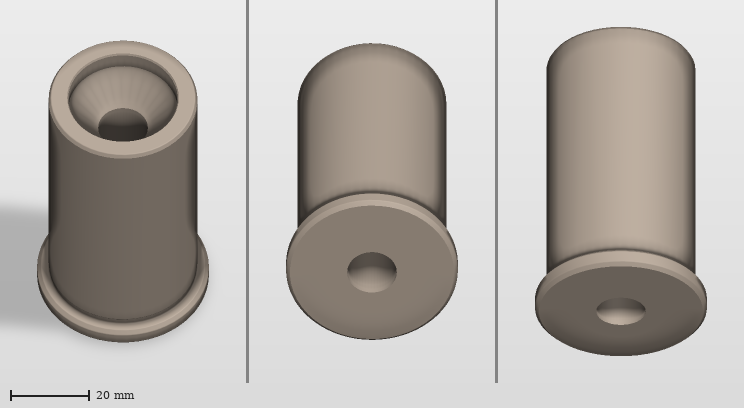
import cadquery as cq
import math

overall_height = 75.0
upper_edge_round = 0.4
lower_edge_round = 0.5

head_diameter = 44.0
head_height = 5.0
head_chamfer = 1.0

body_diameter = 38.1
body_start_height = 6.5
lead_in_height = 1.0
lead_in_width = 0.6

neck_diameter = 37.8
neck_root_fillet = upper_edge_round

mouth_diameter = 28.0
mouth_depth = 5.0
mouth_chamfer_height = 0.5
mouth_chamfer_angle = 30.0
through_diameter = 12.7


def revolve_profile(profile):
    """Close a half profile drawn as (radius, height) and turn it about Z."""
    return profile.close().revolve(360, (0, 0, 0), (0, 1, 0))


def make_head():
    """Disc with a chamfered rim at both faces, rounded at every chamfer edge but the lowest."""
    disc = cq.Workplane("XY").circle(head_diameter / 2).extrude(head_height)
    head = disc.faces("<Z or >Z").edges().chamfer(head_chamfer)
    head = head.faces(">Z").edges().fillet(upper_edge_round)
    head = head.faces("%CYLINDER").edges(">Z").fillet(upper_edge_round)
    return head.faces("%CYLINDER").edges("<Z").fillet(lower_edge_round)


def make_neck():
    """Relief neck that flares into the top of the head with a concave fillet."""
    neck_radius = neck_diameter / 2
    neck_top = body_start_height + lower_edge_round
    profile = (
        cq.Workplane("XZ", origin=(0, 0, head_height))
        .lineTo(neck_radius + neck_root_fillet, 0)
        .radiusArc((neck_radius, neck_root_fillet), neck_root_fillet)
        .lineTo(neck_radius, neck_top - head_height)
        .lineTo(0, neck_top - head_height)
    )
    return revolve_profile(profile)


def make_body():
    """Long cylinder with a rounded lower edge and a tapered, rounded lead-in on top."""
    body_radius = body_diameter / 2
    profile = (
        cq.Workplane("XZ")
        .moveTo(0, body_start_height)
        .lineTo(body_radius, body_start_height)
        .lineTo(body_radius, overall_height - lead_in_height)
        .lineTo(body_radius - lead_in_width, overall_height)
        .lineTo(0, overall_height)
    )
    body = revolve_profile(profile)
    body = body.faces("<Z").edges().fillet(lower_edge_round)
    return body.faces(">Z").edges().fillet(upper_edge_round)


def make_bore():
    """Material removed inside: chamfered mouth, funnel and through hole."""
    mouth_radius = mouth_diameter / 2
    through_radius = through_diameter / 2
    mouth_chamfer_width = mouth_chamfer_height * math.tan(math.radians(mouth_chamfer_angle))
    mouth_floor = overall_height - mouth_depth
    funnel_depth = mouth_radius - through_radius
    profile = (
        cq.Workplane("XZ")
        .lineTo(through_radius, 0)
        .lineTo(through_radius, mouth_floor - funnel_depth)
        .lineTo(mouth_radius, mouth_floor)
        .lineTo(mouth_radius, overall_height - mouth_chamfer_height)
        .lineTo(mouth_radius + mouth_chamfer_width, overall_height)
        .lineTo(0, overall_height)
    )
    return revolve_profile(profile)


result = make_head().union(make_neck()).union(make_body()).cut(make_bore())